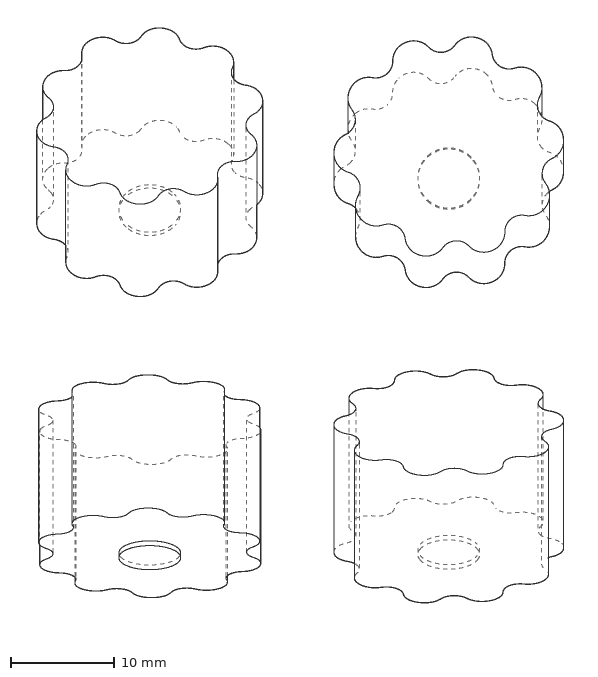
import cadquery as cq
import math

lobe_count = 10
lobe_pitch = 360 / lobe_count
first_lobe_angle = 3.15
outer_radius = 11.16
root_radius = 9.395
edge_radius = 1.96
tip_strip_width = 0.12

total_height = 14.54
boss_height = 0.5
knob_height = total_height - boss_height

boss_diameter = 6.0

edge_circle_radius = outer_radius - edge_radius
half_strip = math.degrees(tip_strip_width / 2 / outer_radius)

half_pitch = lobe_pitch / 2
edge_along_valley = edge_circle_radius * math.cos(math.radians(half_pitch - half_strip))
valley_radius = (
    root_radius**2 + edge_circle_radius**2 - edge_radius**2 - 2 * root_radius * edge_along_valley
) / (2 * (edge_radius + edge_along_valley - root_radius))
valley_circle_radius = root_radius + valley_radius


def polar(radius, angle):
    """Point at a radius and an angle in degrees about the knob axis."""
    return cq.Vector(radius * math.cos(math.radians(angle)), radius * math.sin(math.radians(angle)))


def tangent_point(edge_angle, valley_angle):
    """Point where a rounding arc runs into the neighbouring valley arc."""
    edge_center = polar(edge_circle_radius, edge_angle)
    valley_center = polar(valley_circle_radius, valley_angle)
    share = edge_radius / (edge_radius + valley_radius)
    return edge_center + (valley_center - edge_center) * share


def rounding_middle(edge_angle, valley_angle):
    """Point halfway along the rounding arc from the tip strip to the valley."""
    edge_center = polar(edge_circle_radius, edge_angle)
    toward_tip = (polar(outer_radius, edge_angle) - edge_center).normalized()
    toward_valley = (tangent_point(edge_angle, valley_angle) - edge_center).normalized()
    return edge_center + (toward_tip + toward_valley).normalized() * edge_radius


def make_knob():
    """Lobed knob, standing on Z = 0."""
    first_edge = first_lobe_angle - half_strip
    start = tangent_point(first_edge, first_lobe_angle - half_pitch)
    outline = cq.Workplane("XY").moveTo(start.x, start.y)
    for index in range(lobe_count):
        lobe_angle = first_lobe_angle + index * lobe_pitch
        near_edge = lobe_angle - half_strip
        far_edge = lobe_angle + half_strip
        previous_valley = lobe_angle - half_pitch
        next_valley = lobe_angle + half_pitch
        next_near_edge = near_edge + lobe_pitch
        arcs = [
            (rounding_middle(near_edge, previous_valley), polar(outer_radius, near_edge)),
            (polar(outer_radius, lobe_angle), polar(outer_radius, far_edge)),
            (rounding_middle(far_edge, next_valley), tangent_point(far_edge, next_valley)),
            (polar(root_radius, next_valley), tangent_point(next_near_edge, next_valley)),
        ]
        for middle, end in arcs:
            outline = outline.threePointArc(middle, end)
    return outline.close().extrude(knob_height)


def make_boss():
    """Round boss, resting against the underside of the knob."""
    return cq.Workplane("XY").circle(boss_diameter / 2).extrude(-boss_height)


knob = make_knob()
boss = make_boss()

result = cq.Compound.makeCompound([knob.val(), boss.val()])